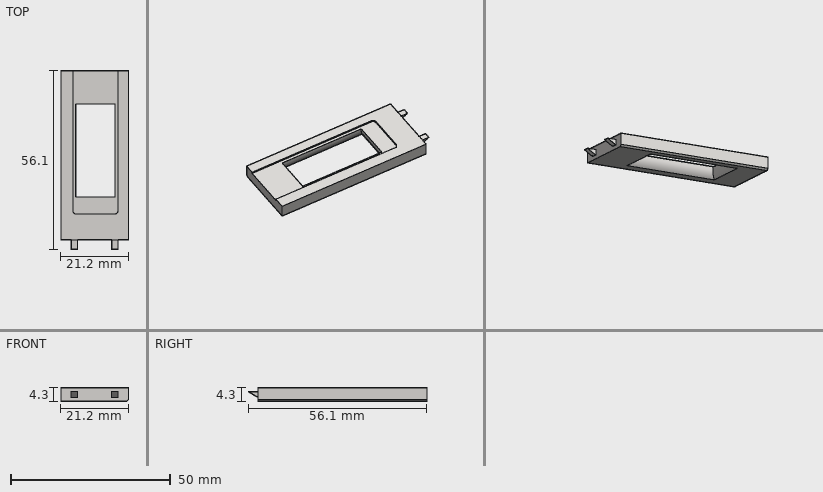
import cadquery as cq
import math

plate_width = 21.25
plate_length = 53.06
plate_thickness = 4.3
edge_chamfer = 0.6

recess_center_x = 10.85
recess_width = 14.2
recess_depth = 0.5
recess_start_y = 8.06
recess_corner_radius = 1.1

window_width = 12.2
window_length = 29.1
window_start_y = 13.45
window_straight_depth = 0.9
flare_radius = 4.2
flare_top_z = plate_thickness - recess_depth - window_straight_depth

tab_length = 3.0
tab_width = 2.0
tab_height = 1.8
tab_bulge = 0.04
tab_top_z = 3.05
first_tab_x = 3.25
tab_spacing = 12.7
tab_count = 2


def make_plate():
    plate = cq.Workplane("XY").box(plate_width, plate_length, plate_thickness, centered=False)
    return plate.edges("|Y and >X and <Z").chamfer(edge_chamfer)


def make_recess():
    recess_length = plate_length - recess_start_y
    recess = (
        cq.Workplane("XY", origin=(recess_center_x, recess_start_y, plate_thickness - recess_depth))
        .box(recess_width, recess_length, recess_depth, centered=(True, False, False))
    )
    return recess.edges("|Z and <Y").fillet(recess_corner_radius)


def flare_offset(depth):
    """Outward spread of the window wall at a depth below the start of the flare."""
    return flare_radius - math.sqrt(flare_radius**2 - depth**2)


def make_flared_prism(plane, opening, prism_length):
    """Prism centred on the window axis, with the flared wall profile on its two long sides."""
    half_opening = opening / 2
    half_middle = half_opening + flare_offset(flare_top_z / 2)
    half_bottom = half_opening + flare_offset(flare_top_z)
    window_center = (recess_center_x, window_start_y + window_length / 2, 0)
    return (
        cq.Workplane(plane, origin=window_center)
        .moveTo(-half_bottom, 0)
        .threePointArc((-half_middle, flare_top_z / 2), (-half_opening, flare_top_z))
        .lineTo(-half_opening, plate_thickness)
        .lineTo(half_opening, plate_thickness)
        .lineTo(half_opening, flare_top_z)
        .threePointArc((half_middle, flare_top_z / 2), (half_bottom, 0))
        .close()
        .extrude(prism_length / 2, both=True)
    )


def make_window():
    across = make_flared_prism("XZ", window_width, plate_length)
    along = make_flared_prism("YZ", window_length, plate_length)
    return across.intersect(along)


def make_tab(left_x):
    return (
        cq.Workplane("YZ", origin=(left_x, 0, 0))
        .moveTo(0, tab_top_z)
        .lineTo(-tab_length, tab_top_z)
        .sagittaArc((0, tab_top_z - tab_height), -tab_bulge)
        .close()
        .extrude(tab_width)
    )


result = make_plate().cut(make_recess()).cut(make_window())
for tab_index in range(tab_count):
    result = result.union(make_tab(first_tab_x + tab_index * tab_spacing))